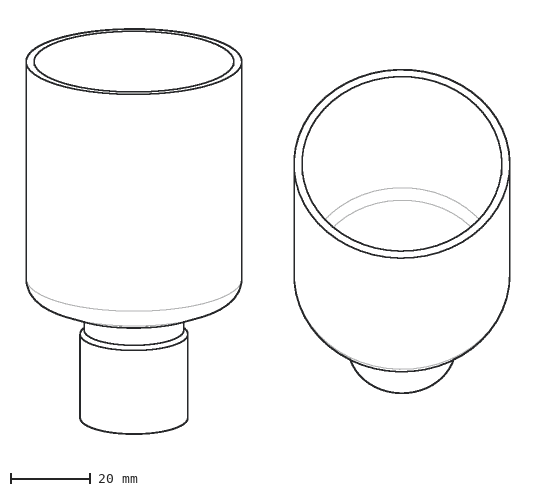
import cadquery as cq
import math

total_height = 93.5
cup_diameter = 54.0
cup_bore_diameter = 50.0
straight_wall_base = 36.65
neck_diameter = 25.0
spigot_diameter = 27.0
spigot_straight_height = 22.0

cup_radius = cup_diameter / 2
wall = (cup_diameter - cup_bore_diameter) / 2
crown_radius = cup_diameter
knuckle_radius = 0.1 * cup_diameter
knuckle_center_radius = cup_radius - knuckle_radius
crown_half_angle = math.asin(knuckle_center_radius / (crown_radius - knuckle_radius))
crown_center_height = straight_wall_base + (crown_radius - knuckle_radius) * math.cos(crown_half_angle)

neck_radius = neck_diameter / 2
spigot_radius = spigot_diameter / 2
shoulder_height = spigot_radius - neck_radius


def crown_point(radius, angle):
    """Point on a crown arc, with the angle measured from straight down."""
    return radius * math.sin(angle), crown_center_height - radius * math.cos(angle)


def knuckle_point(radius, angle):
    """Point on a knuckle arc, with the angle measured from straight down."""
    return (
        knuckle_center_radius + radius * math.sin(angle),
        straight_wall_base - radius * math.cos(angle),
    )


def dished_cylinder(offset):
    """Solid round body with a dished bottom, moved inward from the outer skin by offset."""
    crown = crown_radius - offset
    knuckle = knuckle_radius - offset
    knuckle_mid_angle = (crown_half_angle + math.pi / 2) / 2
    profile = (
        cq.Workplane("XZ")
        .moveTo(*crown_point(crown, 0))
        .threePointArc(
            crown_point(crown, crown_half_angle / 2),
            crown_point(crown, crown_half_angle),
        )
        .threePointArc(
            knuckle_point(knuckle, knuckle_mid_angle),
            knuckle_point(knuckle, math.pi / 2),
        )
        .lineTo(cup_radius - offset, total_height)
        .lineTo(0, total_height)
        .close()
    )
    return profile.revolve(360, (0, 0, 0), (0, 1, 0))


def stem():
    """Spigot with a bevelled shoulder and a neck that runs up into the dished bottom."""
    profile = (
        cq.Workplane("XZ")
        .moveTo(0, 0)
        .lineTo(spigot_radius, 0)
        .lineTo(spigot_radius, spigot_straight_height)
        .lineTo(neck_radius, spigot_straight_height + shoulder_height)
        .lineTo(neck_radius, straight_wall_base)
        .lineTo(0, straight_wall_base)
        .close()
    )
    return profile.revolve(360, (0, 0, 0), (0, 1, 0))


outer_body = dished_cylinder(0)
cavity = dished_cylinder(wall)
result = outer_body.union(stem()).cut(cavity)